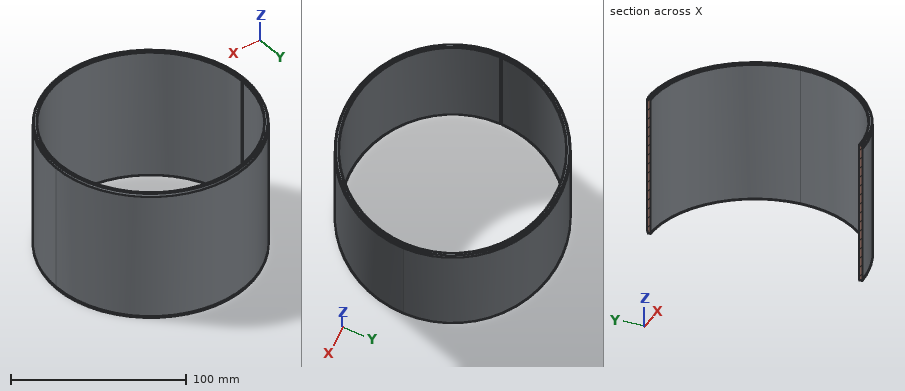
import cadquery as cq

outer_diameter = 135.0
wall = 2.5
height = 90.0
split_width = 1.2
split_centre_y = split_width / 2

outer_chamfer_height = 1.8
outer_chamfer_depth = 0.7
inner_chamfer_height = 0.7
inner_chamfer_depth = 0.4

outer_radius = outer_diameter / 2
inner_radius = outer_radius - wall
half_height = height / 2


def bushing_sleeve():
    """Revolve the chamfered wall section about Z."""
    chamfer_start = half_height - outer_chamfer_height
    inner_chamfer_start = half_height - inner_chamfer_height
    section = (
        cq.Workplane("XZ")
        .moveTo(inner_radius, -inner_chamfer_start)
        .lineTo(inner_radius + inner_chamfer_depth, -half_height)
        .lineTo(outer_radius - outer_chamfer_depth, -half_height)
        .lineTo(outer_radius, -chamfer_start)
        .lineTo(outer_radius, chamfer_start)
        .lineTo(outer_radius - outer_chamfer_depth, half_height)
        .lineTo(inner_radius + inner_chamfer_depth, half_height)
        .lineTo(inner_radius, inner_chamfer_start)
        .close()
    )
    return section.revolve(360, (0, 0, 0), (0, 1, 0))


def split_slot():
    """Full-height slot through the wall on the -X side."""
    return (
        cq.Workplane("XY")
        .box(outer_diameter, split_width, 2 * height)
        .translate((-outer_radius, split_centre_y, 0))
    )


result = bushing_sleeve().cut(split_slot())